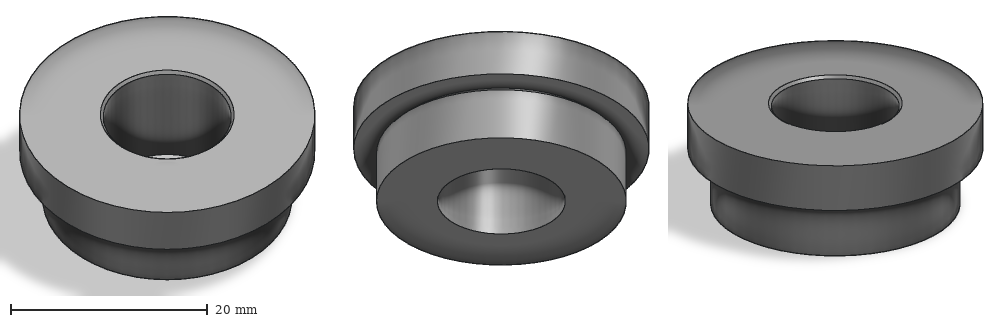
import cadquery as cq

flange_diameter = 30.0
total_height = 11.2
flange_thickness = 5.0

spigot_diameter = 25.38
groove_depth = 0.5
groove_width = 0.5

bore_diameter = 13.0
bore_chamfer = 0.3

flange_bottom = total_height - flange_thickness
spigot_height = flange_bottom - groove_width
groove_diameter = spigot_diameter - 2 * groove_depth


def disc(diameter, bottom, height):
    """Solid disc on the Z axis, starting at the given bottom height."""
    return cq.Workplane("XY").workplane(offset=bottom).circle(diameter / 2).extrude(height)


spigot = disc(spigot_diameter, 0, spigot_height)
groove_neck = disc(groove_diameter, spigot_height, groove_width)
flange = disc(flange_diameter, flange_bottom, flange_thickness)
bore = disc(bore_diameter, 0, total_height)

body = spigot.union(groove_neck).union(flange).cut(bore)

bore_mouth = cq.selectors.RadiusNthSelector(0)
result = body.faces(">Z").edges(bore_mouth).chamfer(bore_chamfer)